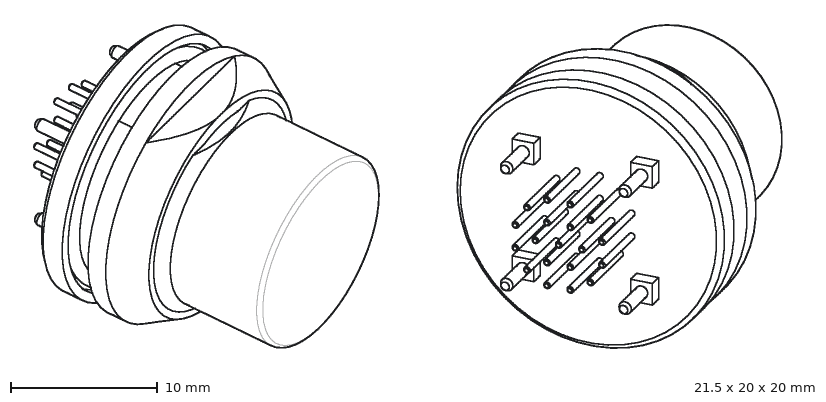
import cadquery as cq
import math


ring_diameter = 20.0
flange_thickness = 2.0
flange_chamfer = 0.4
neck_diameter = 16.0
neck_flat_width = 14.45
neck_front_x = 9.0
barrel_diameter = 14.3
barrel_front_x = 16.5
barrel_fillet = 0.3

pin_diameter = 0.47
pin_length = 5.0
pin_tip_chamfer = 0.09
inner_ring_radius = 1.75
inner_ring_count = 6
outer_ring_radius = 3.35
outer_ring_count = 12
outer_ring_start_angle = 15.0

post_spacing = 8.85
foot_size = 1.63
foot_height = 1.0
peg_diameter = 0.92
post_length = 4.0
peg_tip_length = 0.28
peg_tip_inset = 0.15

nut_rear_x = 4.15
nut_rim_thickness = 1.48
nut_front_x = 8.2
nut_cone_angle = 30.0
nut_flat_width = 17.0
nut_bore_diameter = 15.0
nut_mouth_diameter = 16.4
nut_mouth_depth = 0.4

o_ring_cord = 0.97
o_ring_height = 0.28
groove_diameter = 18.6


def disc(diameter, start_x, end_x):
    """Cylinder on the connector axis between two positions."""
    return cq.Workplane("YZ").workplane(offset=start_x).circle(diameter / 2).extrude(end_x - start_x)


def slab(width, start_x, end_x):
    """Block between two positions, `width` thick along Z and wider than the connector along Y."""
    return cq.Workplane("YZ").workplane(offset=start_x).rect(2 * ring_diameter, width).extrude(end_x - start_x)


def rear_pegs(points, diameter, length):
    """Round pegs that stand on the rear face of the flange, at (Y, Z) points."""
    return cq.Workplane("YZ").pushPoints(points).circle(diameter / 2).extrude(-length)


def ring_points(radius, count, start_angle=0.0):
    """(Y, Z) points evenly spaced on a circle around the axis."""
    angles = [math.radians(start_angle + i * 360 / count) for i in range(count)]
    return [(radius * math.cos(angle), radius * math.sin(angle)) for angle in angles]


def cone(rear_diameter, front_diameter, start_x, end_x):
    """Truncated cone on the connector axis between two positions."""
    start = cq.Vector(start_x, 0, 0)
    axis = cq.Vector(1, 0, 0)
    return cq.Workplane(
        cq.Solid.makeCone(rear_diameter / 2, front_diameter / 2, end_x - start_x, start, axis)
    )


def make_flange():
    """Flange with a chamfered rear edge and the O-ring groove in its front face."""
    groove_floor_x = flange_thickness + o_ring_height - o_ring_cord
    flange = disc(ring_diameter, 0, flange_thickness).faces("<X").chamfer(flange_chamfer)
    return flange.cut(disc(groove_diameter, groove_floor_x, flange_thickness))


def make_neck():
    """Neck with two flats and a 45 degree chamfer down to the barrel."""
    front_chamfer = (neck_diameter - barrel_diameter) / 2
    neck = disc(neck_diameter, 0, neck_front_x).faces(">X").chamfer(front_chamfer)
    return neck.intersect(slab(neck_flat_width, 0, neck_front_x))


def make_pins():
    """Contact pins with chamfered tips."""
    points = [(0, 0)]
    points += ring_points(inner_ring_radius, inner_ring_count)
    points += ring_points(outer_ring_radius, outer_ring_count, outer_ring_start_angle)
    return rear_pegs(points, pin_diameter, pin_length).faces("<X").chamfer(pin_tip_chamfer)


def make_posts():
    """Four mounting posts with tapered tips."""
    half = post_spacing / 2
    points = [(y, z) for y in (-half, half) for z in (-half, half)]
    feet = cq.Workplane("YZ").pushPoints(points).rect(foot_size, foot_size).extrude(-foot_height)
    pegs = rear_pegs(points, peg_diameter, post_length)
    pegs = pegs.faces("<X").edges().chamfer(peg_tip_length, peg_tip_inset)
    return feet.union(pegs)


def make_nut_ring():
    """Ring with a round rim, a cone with two wrench flats, and a bore that flares at the rear."""
    rim_front_x = nut_rear_x + nut_rim_thickness
    cone_inset = (nut_front_x - rim_front_x) * math.tan(math.radians(nut_cone_angle))
    rim = disc(ring_diameter, nut_rear_x, rim_front_x)
    nose = cone(ring_diameter, ring_diameter - 2 * cone_inset, rim_front_x, nut_front_x)
    nose = nose.intersect(slab(nut_flat_width, rim_front_x, nut_front_x))
    bore = disc(nut_bore_diameter, nut_rear_x, nut_front_x)
    mouth = cone(nut_mouth_diameter, nut_bore_diameter, nut_rear_x, nut_rear_x + nut_mouth_depth)
    return rim.union(nose).cut(bore).cut(mouth)


def make_housing():
    """Flange, neck, nut ring and barrel, with the pins and posts on the rear face."""
    barrel = disc(barrel_diameter, 0, barrel_front_x).faces(">X").edges().fillet(barrel_fillet)
    housing = make_flange().union(make_neck()).union(barrel).union(make_nut_ring())
    return housing.union(make_pins()).union(make_posts())


def make_o_ring():
    """O-ring that rests on the groove floor and fits around the neck."""
    cord_radius = o_ring_cord / 2
    center = cq.Vector(flange_thickness + o_ring_height - cord_radius, 0, 0)
    center_radius = neck_diameter / 2 + cord_radius
    return cq.Workplane(cq.Solid.makeTorus(center_radius, cord_radius, center, cq.Vector(1, 0, 0)))


housing = make_housing()
o_ring = make_o_ring()

result = cq.Compound.makeCompound([housing.solids().val(), o_ring.val()])